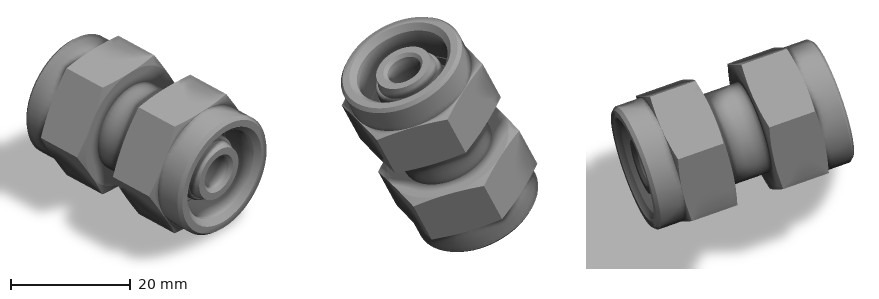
import cadquery as cq
import math


half_length = 17.75
hex_inner = 3.65
hex_outer = 12.75
relief_end = 10.4
body_face = 8.52
nipple_tip = 16.47
nose_base = 14.55

sides = (-1, 1)

across_flats = 21.97
hex_chamfer_angle = 15.0
collar_radius = 10.9
collar_chamfer_length = 0.6
collar_chamfer_depth = 0.55
thread_radius = 8.0
relief_radius = 8.15
mouth_radius = 9.12
mouth_depth = 0.95

root_radius = 6.35
bead_radius = 5.85
nose_base_radius = 5.25
tip_radius = 4.83
bore_radius = 2.98
bore_chamfer = 0.55

flat_radius = across_flats / 2
corner_radius = flat_radius / math.cos(math.radians(30))
hex_chamfer_length = (corner_radius - flat_radius) * math.tan(math.radians(hex_chamfer_angle))
bead_fillet = bead_radius - nose_base_radius
bead_start = nose_base - bead_fillet
bead_mid_offset = bead_fillet * math.sqrt(0.5)


def revolve_about_x(profile):
    """Turn a closed (x, radius) outline in the XY plane around the X axis."""
    return profile.close().revolve(360, (0, 0, 0), (1, 0, 0))


def make_hexagon():
    """Hexagon with flats up and down, its corners turned to a cone at both ends."""
    prism = (
        cq.Workplane("YZ", origin=(hex_inner, 0, 0))
        .polygon(6, 2 * corner_radius)
        .extrude(hex_outer - hex_inner)
    )
    turned_envelope = revolve_about_x(
        cq.Workplane("XY").polyline([
            (hex_inner, 0),
            (hex_inner, flat_radius),
            (hex_inner + hex_chamfer_length, corner_radius),
            (hex_outer - hex_chamfer_length, corner_radius),
            (hex_outer, flat_radius),
            (hex_outer, 0),
        ])
    )
    return prism.intersect(turned_envelope)


def make_collar():
    """Round collar beyond the hexagon, chamfered at the outer face."""
    return revolve_about_x(
        cq.Workplane("XY").polyline([
            (hex_inner, 0),
            (hex_inner, thread_radius),
            (hex_outer, collar_radius),
            (half_length - collar_chamfer_length, collar_radius),
            (half_length, collar_radius - collar_chamfer_depth),
            (half_length, 0),
        ])
    )


def make_nut_bore():
    """Stepped bore: thread, wider relief ahead of the body, countersunk mouth."""
    return revolve_about_x(
        cq.Workplane("XY").polyline([
            (hex_inner, 0),
            (hex_inner, thread_radius),
            (relief_end, thread_radius),
            (relief_end, relief_radius),
            (half_length - mouth_depth, relief_radius),
            (half_length, mouth_radius),
            (half_length, 0),
        ])
    )


def place_on_side(shape, side):
    """Keep a +X shape where it is (side = 1) or mirror it to the -X end (side = -1)."""
    return shape if side > 0 else shape.mirror("YZ")


def make_nut(side):
    """Union nut on one end of the coupling."""
    nut = make_hexagon().union(make_collar()).cut(make_nut_bore())
    return place_on_side(nut, side)


def make_nipple(side):
    """Nipple on one end of the body: tapered root, rounded bead and tapered nose."""
    nipple = revolve_about_x(
        cq.Workplane("XY")
        .moveTo(body_face, 0)
        .lineTo(body_face, root_radius)
        .lineTo(bead_start, bead_radius)
        .threePointArc(
            (bead_start + bead_mid_offset, nose_base_radius + bead_mid_offset),
            (nose_base, nose_base_radius),
        )
        .lineTo(nipple_tip, tip_radius)
        .lineTo(nipple_tip, 0)
    )
    return place_on_side(nipple, side)


def make_body_bore():
    """Through bore of the body, chamfered at both nipple tips."""
    mouth = bore_radius + bore_chamfer
    chamfer_start = nipple_tip - bore_chamfer
    return revolve_about_x(
        cq.Workplane("XY").polyline([
            (-nipple_tip, 0),
            (-nipple_tip, mouth),
            (-chamfer_start, bore_radius),
            (chamfer_start, bore_radius),
            (nipple_tip, mouth),
            (nipple_tip, 0),
        ])
    )


def make_body():
    """Connector body: a cylinder with a nipple on each end and a through bore."""
    connector = (
        cq.Workplane("YZ", origin=(-body_face, 0, 0))
        .circle(thread_radius)
        .extrude(2 * body_face)
    )
    for side in sides:
        connector = connector.union(make_nipple(side))
    return connector.cut(make_body_bore())


body = make_body()
nuts = [make_nut(side) for side in sides]

result = cq.Compound.makeCompound([body.val(), *[nut.val() for nut in nuts]])